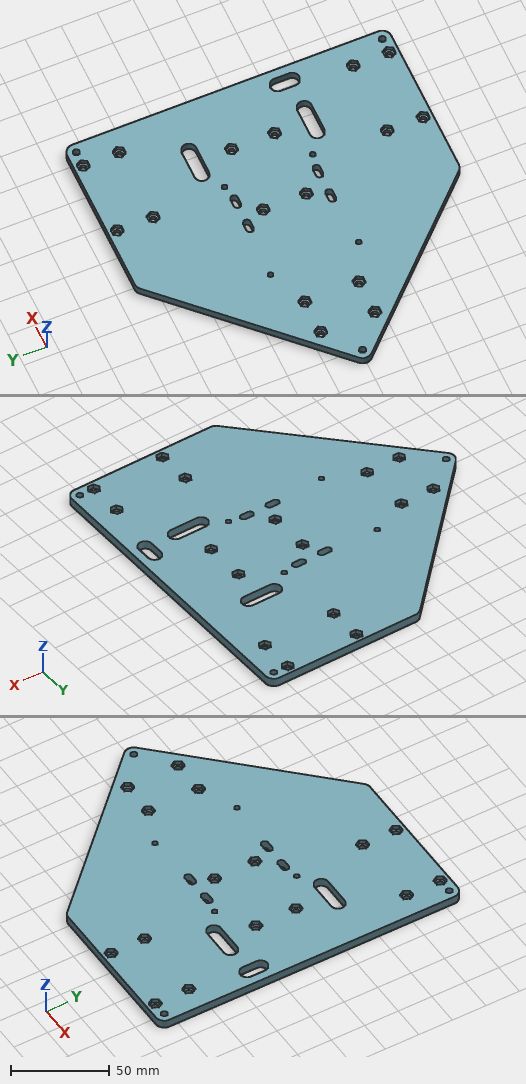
import cadquery as cq
import math

length = 178.0
width = 180.0
thickness = 5.0
corner_radius = 5.0
shoulder_from_tip = 83.0

corner_hole_diameter = 3.6
board_hole_diameter = 2.9
board_hole_pitch_x = 58.0
board_hole_pitch_y = 49.0
board_center_x = 5.4

bolt_hole_diameter = 3.6
nut_across_flats = 6.0
nut_pocket_depth = 2.5
bracket_pitch = 20.0
rear_bracket_x = 53.8
rear_bracket_pitch_x = 42.8
front_bracket_x = -55.5
front_bracket_pitch_y = 30.0
middle_mount_x = 34.0
middle_mount_pitch_x = 40.0
middle_mount_pitch_y = 24.0

cable_slot_length = 24.0
cable_slot_width = 8.0
side_slot_x = middle_mount_x + middle_mount_pitch_x / 2
side_slot_offset_y = 32.0
strap_slot_length = 8.0
strap_slot_width = 4.0
strap_slot_x = 16.0
strap_slot_pitch_x = 16.0
strap_slot_offset_y = 22.9
edge_slot_length = 16.0
edge_slot_x = 80.1
edge_slot_y = -29.2

tip_center_x = corner_radius - length / 2
corner_center_x = length / 2 - corner_radius
corner_center_y = width / 2 - corner_radius


def grid(center_x, center_y, pitch_x, pitch_y):
    """Corners of a pitch_x by pitch_y rectangle around a centre."""
    return [
        (center_x + side_x * pitch_x / 2, center_y + side_y * pitch_y / 2)
        for side_x in (-1, 1)
        for side_y in (-1, 1)
    ]


def make_plate():
    """Five-sided plate with every vertical corner rounded to the same radius."""
    half_tip_angle = math.atan2(corner_center_y, shoulder_from_tip)
    sharp_tip_x = tip_center_x - corner_radius / math.sin(half_tip_angle)
    sharp_shoulder_x = sharp_tip_x + width / 2 / math.tan(half_tip_angle)
    outline = [
        (sharp_tip_x, 0),
        (sharp_shoulder_x, -width / 2),
        (length / 2, -width / 2),
        (length / 2, width / 2),
        (sharp_shoulder_x, width / 2),
    ]
    plate = cq.Workplane("XY").polyline(outline).close().extrude(thickness)
    return plate.edges("|Z").fillet(corner_radius)


def round_holes(points, diameter):
    """Cutters for plain through holes."""
    return cq.Workplane("XY").pushPoints(points).circle(diameter / 2).extrude(thickness)


def nut_pockets(points):
    """Cutters for hexagonal pockets in the top face, corners pointing along X."""
    across_corners = nut_across_flats / math.cos(math.pi / 6)
    top = cq.Workplane("XY").workplane(offset=thickness)
    return top.pushPoints(points).polygon(6, across_corners).extrude(-nut_pocket_depth)


def slots(points, slot_length, slot_width, angle=0):
    """Cutters for round-ended through slots."""
    return cq.Workplane("XY").pushPoints(points).slot2D(slot_length, slot_width, angle).extrude(thickness)


corner_hole_points = [
    (tip_center_x, 0),
    (corner_center_x, corner_center_y),
    (corner_center_x, -corner_center_y),
]
board_hole_points = grid(board_center_x, 0, board_hole_pitch_x, board_hole_pitch_y)

rear_bracket_y = corner_center_y - bracket_pitch / 2
bolt_points = (
    grid(front_bracket_x, 0, bracket_pitch, front_bracket_pitch_y)
    + grid(middle_mount_x, 0, middle_mount_pitch_x, middle_mount_pitch_y)
    + grid(rear_bracket_x, rear_bracket_y, rear_bracket_pitch_x, bracket_pitch)
    + grid(rear_bracket_x, -rear_bracket_y, rear_bracket_pitch_x, bracket_pitch)
)

side_slot_points = [(side_slot_x, side * side_slot_offset_y) for side in (-1, 1)]
strap_slot_points = grid(strap_slot_x, 0, strap_slot_pitch_x, 2 * strap_slot_offset_y)

result = (
    make_plate()
    .cut(round_holes(corner_hole_points, corner_hole_diameter))
    .cut(round_holes(board_hole_points, board_hole_diameter))
    .cut(round_holes(bolt_points, bolt_hole_diameter))
    .cut(nut_pockets(bolt_points))
    .cut(slots(side_slot_points, cable_slot_length, cable_slot_width))
    .cut(slots(strap_slot_points, strap_slot_length, strap_slot_width))
    .cut(slots([(edge_slot_x, edge_slot_y)], edge_slot_length, cable_slot_width, 90))
)